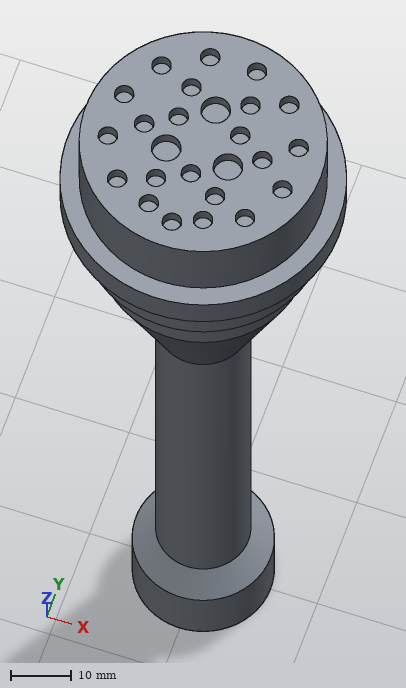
import cadquery as cq
import math

flange_diameter = 47.6
shell_diameter = 41.2
collar_diameter = 35.0
stem_diameter = 15.9
foot_diameter = 23.7

total_height = 152.6
upper_shell_height = 13.0
flange_height = 6.0
lower_shell_height = 9.8
collar_height = 9.8
taper_height = 26.1
foot_height = 11.1
foot_chamfer_height = 3.8

small_hole_diameter = 3.2
large_hole_diameter = 4.9
hole_depth = 2.3

inner_ring_radius = 6.3
middle_ring_radius = 10.4
middle_ring_pitch = 60
outer_ring_radius = 15.9
outer_ring_pitch = 30
outer_run_start = -45
outer_run_end = 225
key_angle = 270
key_pair_radius = 14.6
key_pair_offset = 19

flange_top = total_height - upper_shell_height
flange_bottom = flange_top - flange_height
shell_bottom = flange_bottom - lower_shell_height
collar_bottom = shell_bottom - collar_height
taper_bottom = collar_bottom - taper_height
foot_chamfer_top = foot_height + foot_chamfer_height


def cylinder(diameter, bottom, top):
    """Solid cylinder on the Z axis between two levels."""
    return cq.Workplane("XY").workplane(offset=bottom).circle(diameter / 2).extrude(top - bottom)


def cone(bottom_diameter, top_diameter, bottom, top):
    """Solid truncated cone on the Z axis between two levels."""
    return (
        cq.Workplane("XY")
        .workplane(offset=bottom)
        .circle(bottom_diameter / 2)
        .workplane(offset=top - bottom)
        .circle(top_diameter / 2)
        .loft()
    )


def ring_points(radius, angles):
    """Points on a circle about the Z axis at the given angles in degrees from +X."""
    return [
        (radius * math.cos(math.radians(angle)), radius * math.sin(math.radians(angle)))
        for angle in angles
    ]


def drill(body, points, diameter):
    """Cut flat-bottomed blind holes into the top face."""
    holes = (
        cq.Workplane("XY")
        .workplane(offset=total_height)
        .pushPoints(points)
        .circle(diameter / 2)
        .extrude(-hole_depth)
    )
    return body.cut(holes)


body = cylinder(foot_diameter, 0, foot_height)
body = body.union(cone(foot_diameter, stem_diameter, foot_height, foot_chamfer_top))
body = body.union(cylinder(stem_diameter, foot_chamfer_top, taper_bottom))
body = body.union(cone(stem_diameter, collar_diameter, taper_bottom, collar_bottom))
body = body.union(cylinder(collar_diameter, collar_bottom, shell_bottom))
body = body.union(cylinder(shell_diameter, shell_bottom, total_height))
body = body.union(cylinder(flange_diameter, flange_bottom, flange_top))

large_holes = ring_points(inner_ring_radius, (90, 210, 330))
small_holes = ring_points(inner_ring_radius, (30, 150, 270))

small_holes += ring_points(middle_ring_radius, range(0, 360, middle_ring_pitch))

outer_run = range(outer_run_start, outer_run_end + 1, outer_ring_pitch)
small_holes += ring_points(outer_ring_radius, outer_run)

small_holes += ring_points(outer_ring_radius, [key_angle])
small_holes += ring_points(key_pair_radius, (key_angle - key_pair_offset, key_angle + key_pair_offset))

body = drill(body, large_holes, large_hole_diameter)
result = drill(body, small_holes, small_hole_diameter)